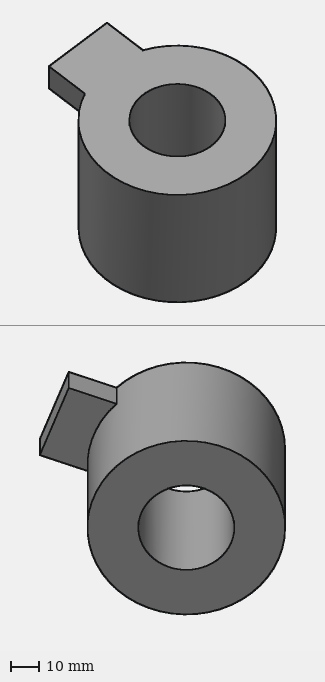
import cadquery as cq

overall_length = 85.0
body_diameter = 70.0
body_height = 58.0
bore_diameter = 34.0
tab_width = 29.0
tab_thickness = 12.0

body_radius = body_diameter / 2
tab_reach = overall_length - body_radius


def make_body():
    return cq.Workplane("XY").circle(body_radius).extrude(body_height)


def make_tab():
    return (
        cq.Workplane("XY")
        .workplane(offset=body_height - tab_thickness)
        .center(-tab_reach / 2, 0)
        .rect(tab_reach, tab_width)
        .extrude(tab_thickness)
    )


def make_bore():
    return cq.Workplane("XY").circle(bore_diameter / 2).extrude(body_height)


result = make_body().union(make_tab()).cut(make_bore())